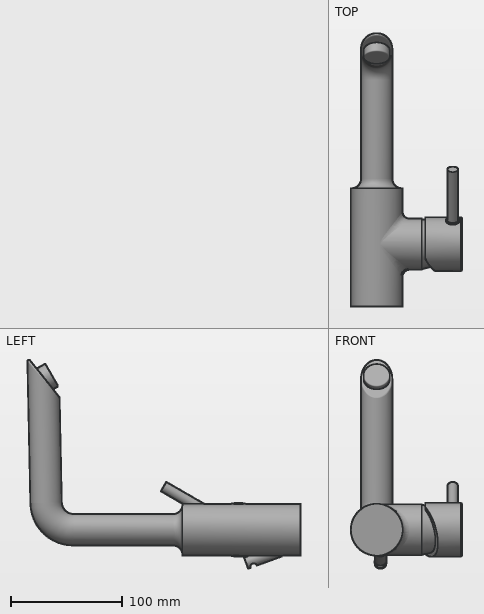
import cadquery as cq
import math

BODY_RADIUS = 23.3
BODY_LENGTH = 106.3

SPOUT_RADIUS = 14.2
SPOUT_FLARE_RADIUS = 8.0
BEND_START = 203.8
BEND_RADIUS = 24.8
LEG_LEAN = 1.2
MOUTH_TIP_Y = 245.8
MOUTH_TIP_Z = 155.7
MOUTH_SLOPE = 51.5
MOUTH_ROUND = 1.5

AERATOR_RADIUS = 11.8
AERATOR_LENGTH = 9.8
AERATOR_ROUND = 1.0
AERATOR_FACE_Y = 223.5
AERATOR_FACE_Z = 139.0
AERATOR_TILT = 30.0

BRANCH_Y = 56.0
BRANCH_RADIUS = 23.0
BRANCH_END = 40.3
BRANCH_FILLET = 6.0
NECK_RADIUS = 22.5
NECK_TIP_RADIUS = 18.7
NECK_END = 57.7
CAP_RADIUS = 24.3
CAP_START = 43.5
CAP_END = 76.9
CAP_CHAMFER = 1.2
CAP_RELIEF_REACH = 55.0
CAP_RELIEF_OFFSET = 1.2

LEVER_X = 68.3
LEVER_RADIUS = 5.0
LEVER_TILT = 30.0
LEVER_LENGTH = 77.5
LEVER_COLLAR_RADIUS = 6.1
LEVER_COLLAR_LENGTH = 24.8

PEG_X = 3.5
PEG_RADIUS = 5.5
PEG_TILT = 20.0
PEG_END_Y = 49.0
PEG_END_Z = -30.0
PEG_LENGTH = 32.0
PEG_NOTCH_RADIUS = 3.0
PEG_NOTCH_SETBACK = 5.5


def rod(end, direction, radius, length):
    """Cylinder that starts at a point and runs along a direction."""
    return cq.Workplane(obj=cq.Solid.makeCylinder(radius, length, cq.Vector(*end), cq.Vector(*direction)))


def direction_yz(angle):
    """Unit vector in the YZ plane, turned from +Y towards +Z."""
    turn = math.radians(angle)
    return cq.Vector(0, math.cos(turn), math.sin(turn))


def make_body():
    body = rod((0, 0, 0), (0, 1, 0), BODY_RADIUS, BODY_LENGTH)
    branch = rod((0, BRANCH_Y, 0), (1, 0, 0), BRANCH_RADIUS, BRANCH_END)
    reach = BODY_RADIUS + BRANCH_FILLET
    junction = cq.selectors.BoxSelector((0, BRANCH_Y - reach, -reach), (reach, BRANCH_Y + reach, reach))
    return body.union(branch).edges(junction).edges("not %LINE").fillet(BRANCH_FILLET)


def make_flare():
    """Concave ring that blends the body top into the spout."""
    flare_end = BODY_LENGTH + SPOUT_FLARE_RADIUS
    flare_rim = SPOUT_RADIUS + SPOUT_FLARE_RADIUS
    arc_offset = SPOUT_FLARE_RADIUS * (1 - math.sqrt(0.5))
    profile = (
        cq.Workplane("XY")
        .moveTo(0, BODY_LENGTH)
        .lineTo(flare_rim, BODY_LENGTH)
        .threePointArc((SPOUT_RADIUS + arc_offset, BODY_LENGTH + arc_offset), (SPOUT_RADIUS, flare_end))
        .lineTo(0, flare_end)
        .close()
    )
    return profile.revolve(360, (0, 0, 0), (0, 1, 0))


def make_spout():
    leg_direction = direction_yz(90 - LEG_LEAN)
    bend_center = cq.Vector(0, BEND_START, BEND_RADIUS)
    bend_middle = bend_center + direction_yz(-45 - LEG_LEAN / 2) * BEND_RADIUS
    bend_end = bend_center + direction_yz(-LEG_LEAN) * BEND_RADIUS
    leg_end = bend_end + leg_direction * MOUTH_TIP_Z
    path = (
        cq.Workplane("YZ")
        .moveTo(BODY_LENGTH, 0)
        .lineTo(BEND_START, 0)
        .threePointArc((bend_middle.y, bend_middle.z), (bend_end.y, bend_end.z))
        .lineTo(leg_end.y, leg_end.z)
    )
    start = cq.Plane(origin=(0, BODY_LENGTH, 0), xDir=(1, 0, 0), normal=(0, 1, 0))
    tube = cq.Workplane(start).circle(SPOUT_RADIUS).sweep(path)
    mouth_normal = direction_yz(90 + MOUTH_SLOPE)
    mouth_plane = cq.Plane(origin=(0, MOUTH_TIP_Y, MOUTH_TIP_Z), xDir=(1, 0, 0), normal=mouth_normal)
    waste_size = 2 * BODY_LENGTH
    waste = cq.Workplane(mouth_plane).rect(waste_size, waste_size).extrude(waste_size)
    tube = tube.cut(waste)
    return tube.faces(">Z").edges().fillet(MOUTH_ROUND)


def make_aerator():
    inward = direction_yz(-AERATOR_TILT)
    aerator = rod((0, AERATOR_FACE_Y, AERATOR_FACE_Z), inward.toTuple(), AERATOR_RADIUS, AERATOR_LENGTH)
    outer_face = cq.selectors.DirectionMinMaxSelector(inward, False)
    return aerator.faces(outer_face).edges().fillet(AERATOR_ROUND)


def make_neck():
    neck = cq.Solid.makeCone(
        NECK_RADIUS, NECK_TIP_RADIUS, NECK_END - BRANCH_END,
        cq.Vector(BRANCH_END, BRANCH_Y, 0), cq.Vector(1, 0, 0),
    )
    return cq.Workplane(obj=neck)


def make_cap():
    """Cap whose inner end is cut away at a slant on the side opposite the lever."""
    cap = rod((CAP_START, BRANCH_Y, 0), (1, 0, 0), CAP_RADIUS, CAP_END - CAP_START)
    cap = cap.faces(">X").edges().chamfer(CAP_CHAMFER)
    lever_direction = direction_yz(LEVER_TILT)
    lever_plane = cq.Plane(
        origin=(0, BRANCH_Y, 0), xDir=(1, 0, 0), normal=cq.Vector(1, 0, 0).cross(lever_direction)
    )
    relief = (
        cq.Workplane(lever_plane)
        .polyline([
            (CAP_START, -CAP_RELIEF_OFFSET),
            (CAP_RELIEF_REACH, -CAP_RADIUS),
            (CAP_START, -CAP_RADIUS),
        ])
        .close()
        .extrude(CAP_RADIUS, both=True)
    )
    return cap.cut(relief)


def make_lever():
    pivot = (LEVER_X, BRANCH_Y, 0)
    outward = direction_yz(LEVER_TILT).toTuple()
    collar = rod(pivot, outward, LEVER_COLLAR_RADIUS, LEVER_COLLAR_LENGTH)
    return rod(pivot, outward, LEVER_RADIUS, LEVER_LENGTH).union(collar)


def make_peg():
    """Rod with a round notch across its lower side near the free end."""
    inward = direction_yz(180 - PEG_TILT)
    downward = direction_yz(-90 - PEG_TILT)
    end = cq.Vector(PEG_X, PEG_END_Y, PEG_END_Z)
    peg = rod(end.toTuple(), inward.toTuple(), PEG_RADIUS, PEG_LENGTH)
    notch_start = end + inward * PEG_NOTCH_SETBACK + downward * PEG_RADIUS - cq.Vector(PEG_RADIUS, 0, 0)
    notch = rod(notch_start.toTuple(), (1, 0, 0), PEG_NOTCH_RADIUS, 2 * PEG_RADIUS)
    return peg.cut(notch)


result = make_body()
for feature in (make_flare(), make_spout(), make_aerator(), make_neck(), make_cap(), make_lever(), make_peg()):
    result = result.union(feature)